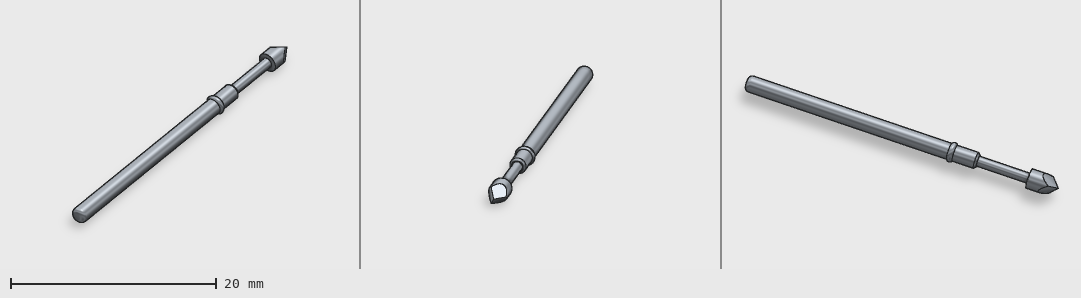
import cadquery as cq
import math

LENGTH = 32.3
TIP_Y = LENGTH / 2
END_Y = -LENGTH / 2

HEAD_RADIUS = 1.0
HEAD_LENGTH = 3.0
TIP_FACES = 3
TIP_FACE_ANGLE = 30.0

PLUNGER_RADIUS = 0.52

BARREL_DIAMETER = 1.65
BARREL_RADIUS = BARREL_DIAMETER / 2
BARREL_LENGTH = 24.0
BARREL_CHAMFER = 0.23
END_ROUND = 0.45

RING_RADIUS = HEAD_RADIUS
RING_WIDTH = 0.58
RING_FROM_TIP = 11.0


def cylinder(radius, start_y, length):
    """Round bar from start_y towards +Y."""
    return cq.Workplane("XZ", origin=(0, start_y, 0)).circle(radius).extrude(-length)


def make_tip_pyramid():
    """Pyramid with its apex at the tip and one face towards +X, as long as the head."""
    inradius = HEAD_LENGTH * math.tan(math.radians(TIP_FACE_ANGLE))
    corner_radius = inradius / math.cos(math.pi / TIP_FACES)
    corners = []
    for i in range(TIP_FACES):
        angle = (2 * i + 1) * math.pi / TIP_FACES
        corners.append((corner_radius * math.cos(angle), corner_radius * math.sin(angle)))
    base = cq.Workplane("XZ", origin=(0, TIP_Y - HEAD_LENGTH, 0)).polyline(corners).close()
    return base.extrude(-HEAD_LENGTH, taper=TIP_FACE_ANGLE)


def make_head():
    """Round head cut to a three-sided point."""
    blank = cylinder(HEAD_RADIUS, TIP_Y - HEAD_LENGTH, HEAD_LENGTH)
    return blank.intersect(make_tip_pyramid())


def make_barrel():
    """Barrel with a chamfered mouth and a rounded closed end."""
    barrel = cylinder(BARREL_RADIUS, END_Y, BARREL_LENGTH)
    return barrel.faces(">Y").chamfer(BARREL_CHAMFER).faces("<Y").edges().fillet(END_ROUND)


def make_ring():
    """Press ring with a rounded rim."""
    middle_y = TIP_Y - RING_FROM_TIP
    top_y = middle_y + RING_WIDTH / 2
    bottom_y = middle_y - RING_WIDTH / 2
    profile = (
        cq.Workplane("XY")
        .moveTo(0, bottom_y)
        .lineTo(BARREL_RADIUS, bottom_y)
        .threePointArc((RING_RADIUS, middle_y), (BARREL_RADIUS, top_y))
        .lineTo(0, top_y)
        .close()
    )
    return profile.revolve(360, (0, 0, 0), (0, 1, 0))


def make_plunger():
    """Thin rod joining the barrel to the head."""
    barrel_top_y = END_Y + BARREL_LENGTH
    return cylinder(PLUNGER_RADIUS, barrel_top_y, LENGTH - HEAD_LENGTH - BARREL_LENGTH)


result = make_barrel().union(make_ring()).union(make_plunger()).union(make_head())